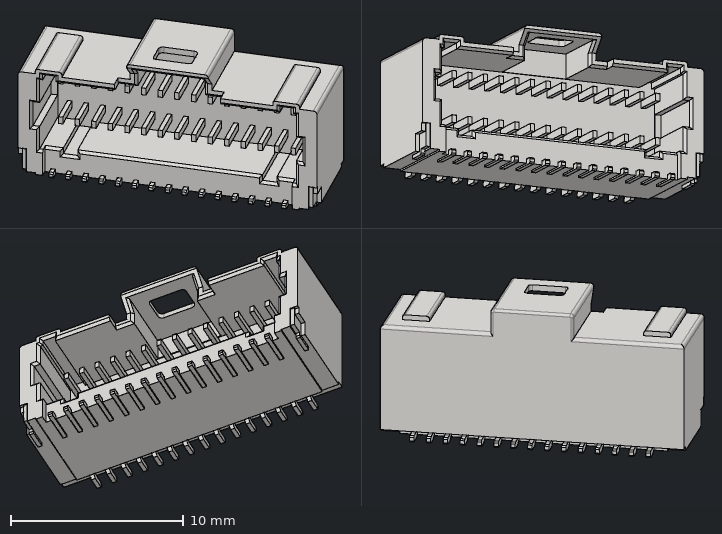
import cadquery as cq


HOUSING_WIDTH = 18.0
HOUSING_DEPTH = 5.85
HOUSING_TOP = 6.8
HOUSING_BOTTOM = 0.1
EDGE_RADIUS = 0.22
END_WIDTH = 1.06
END_LIFT = 0.1
HEEL_DEPTH = 0.47
HEEL_TOP = 0.43

HOOD_WIDTH = 4.93
HOOD_TOP = 8.25
HOOD_REAR_RADIUS = 0.16
HOOD_WINDOW_WIDTH = 2.34
HOOD_WINDOW_FRONT = 1.03
HOOD_WINDOW_REAR = 2.55
HOOD_WINDOW_REAR_RADIUS = 0.27
HOOD_WINDOW_FRONT_RADIUS = 0.2

RAIL_OFFSET = 7.15
RAIL_WIDTH = 1.6
RAIL_TOP = 7.11
RAIL_LENGTH = 4.55
RAIL_RADIUS = 0.16

CAVITY_WIDTH = 15.45
CAVITY_FLOOR = 1.76
CAVITY_TOP = 6.37
CAVITY_DEPTH = 4.1
RELIEF_DEPTH = 4.05
LEAD_IN = 0.16
LEAD_IN_ANGLE = 45.0
HOOD_CAVITY_WIDTH = 4.07
HOOD_CAVITY_TOP = 7.87
RAIL_CHANNEL_WIDTH = 0.8
RAIL_CHANNEL_TOP = 6.73
FLOOR_CHANNEL_OFFSET = 6.0
FLOOR_CHANNEL_WIDTH = 0.86
FLOOR_CHANNEL_BOTTOM = 1.39
SIDE_CHANNEL_DEPTH = 0.4
SIDE_CHANNEL_BOTTOM = 3.25
SIDE_CHANNEL_TOP = 4.85

SILL_WIDTH = 15.01
SILL_SETBACK = 0.49
LATCH_NOTCH_WIDTH = 6.37
LATCH_NOTCH_DEPTH = 0.81

CONTACT_COUNT = 15
CONTACT_SPAN = 14.0
CONTACT_PITCH = CONTACT_SPAN / (CONTACT_COUNT - 1)
CONTACT_WIDTH = 0.27
CONTACT_HEIGHT = 0.45
CONTACT_TIP = 2.1
CONTACT_ROW_BOTTOMS = (2.5, 5.15)
EMBED = 0.18
FOOT_BEVEL = 0.09
FRONT_FOOT_TOP = 0.36
FOOT_REAR = 1.96
REAR_FOOT_TOP = 0.4
REAR_FOOT_BEND = 0.16
REAR_FOOT_TIP = 6.5
REAR_FOOT_HEEL = 0.27

NAIL_THICKNESS = 0.25
NAIL_OUTER = 8.75
NAIL_FRONT = 0.07
NAIL_TOP = 1.73
NAIL_NOTCH_DEPTH = 0.77
NAIL_NOTCH_TOP = 0.35
NAIL_POCKET_DEPTH = 0.97
NAIL_POCKET_TOP = 1.26
NAIL_SLOT_DEPTH = 0.16


def block(x_range, y_range, z_range):
    """Axis-aligned box between the given limits."""
    x0, x1 = x_range
    y0, y1 = y_range
    z0, z1 = z_range
    return cq.Workplane("XY").box(x1 - x0, y1 - y0, z1 - z0, centered=False).translate((x0, y0, z0))


def centered_block(width, y_range, z_range, x_center=0.0):
    """Box of the given X width around x_center."""
    return block((x_center - width / 2, x_center + width / 2), y_range, z_range)


def side_profile(points, width, x_center=0.0):
    """Extrude a (y, z) outline along X, centred on x_center."""
    return (
        cq.Workplane("YZ").polyline(points).close().extrude(width / 2, both=True).translate((x_center, 0, 0))
    )


def both_ends(solid):
    """A solid together with its mirror image across x = 0."""
    return solid.union(solid.mirror("YZ"))


def make_shell():
    """Solid outside of the housing: body, hood, rails and underside steps."""
    depth = (0, HOUSING_DEPTH)
    body = centered_block(HOUSING_WIDTH, depth, (HOUSING_BOTTOM, HOUSING_TOP))
    body = body.faces(">Z").edges("|Y or >Y").fillet(EDGE_RADIUS)
    hood = centered_block(HOOD_WIDTH, depth, (HOUSING_TOP - EDGE_RADIUS, HOOD_TOP))
    hood = hood.edges("|Y and >Z").fillet(EDGE_RADIUS)
    hood = hood.faces(">Y").edges("not <Z").fillet(HOOD_REAR_RADIUS)
    shell = body.union(hood)

    rail = centered_block(RAIL_WIDTH, (0, RAIL_LENGTH), (CAVITY_TOP, RAIL_TOP), -RAIL_OFFSET)
    shell = shell.union(both_ends(rail.edges("|Y and >Z").fillet(RAIL_RADIUS)))

    end_inner = HOUSING_WIDTH / 2 - END_WIDTH
    end_relief = block((end_inner, HOUSING_WIDTH / 2), depth, (HOUSING_BOTTOM, HOUSING_BOTTOM + END_LIFT))
    heel_range = (HOUSING_DEPTH - HEEL_DEPTH, HOUSING_DEPTH)
    heel = centered_block(HOUSING_WIDTH, heel_range, (HOUSING_BOTTOM, HEEL_TOP))
    return shell.cut(both_ends(end_relief)).cut(heel)


def channel_set(growth, y_front, depth_limit, taper):
    """Cavity and its channels, enlarged sideways by growth, cut from y_front inward."""
    sections = [
        (0, CAVITY_WIDTH, CAVITY_FLOOR, CAVITY_TOP, CAVITY_DEPTH),
        (0, HOOD_CAVITY_WIDTH, CAVITY_FLOOR, HOOD_CAVITY_TOP, RELIEF_DEPTH),
        (0, CAVITY_WIDTH + 2 * SIDE_CHANNEL_DEPTH, SIDE_CHANNEL_BOTTOM, SIDE_CHANNEL_TOP, RELIEF_DEPTH),
    ]
    for side in (-1, 1):
        sections.append(
            (side * RAIL_OFFSET, RAIL_CHANNEL_WIDTH, CAVITY_FLOOR, RAIL_CHANNEL_TOP, CAVITY_DEPTH)
        )
        sections.append(
            (side * FLOOR_CHANNEL_OFFSET, FLOOR_CHANNEL_WIDTH, FLOOR_CHANNEL_BOTTOM, CAVITY_TOP, CAVITY_DEPTH)
        )
    channels = cq.Workplane("XY")
    for x_center, width, bottom, top, depth in sections:
        part = (
            cq.Workplane("XZ", origin=(x_center, y_front, (bottom + top) / 2))
            .rect(width + 2 * growth, top - bottom + 2 * growth)
            .extrude(-min(depth, depth_limit), taper=taper)
        )
        channels = channels.union(part)
    return channels


def make_cavity():
    return channel_set(0, 0, HOUSING_DEPTH, 0)


def make_lead_in(y_front):
    """Tapered flare of the cavity outline, starting at y_front."""
    return channel_set(LEAD_IN, y_front, LEAD_IN, LEAD_IN_ANGLE)


def make_sill_cut():
    """Set the lower front wall back and bevel the floor edge behind it."""
    sill = centered_block(SILL_WIDTH, (0, SILL_SETBACK), (0, CAVITY_FLOOR))
    lip_zone = centered_block(SILL_WIDTH, (0, SILL_SETBACK + LEAD_IN), (0, CAVITY_FLOOR))
    return sill.union(make_lead_in(SILL_SETBACK).intersect(lip_zone))


def make_latch_notch():
    """Remove the front of the top wall and slope the hood sides back below the lip."""
    low = CAVITY_TOP - LEAD_IN
    lip = HOOD_CAVITY_TOP + LEAD_IN
    slope_end = (LATCH_NOTCH_DEPTH, lip - LATCH_NOTCH_DEPTH)
    notch = side_profile([(0, low), (0, lip), slope_end, (LATCH_NOTCH_DEPTH, low)], LATCH_NOTCH_WIDTH)

    lip_depth = (0, LATCH_NOTCH_DEPTH + LEAD_IN)
    lip_zone = centered_block(LATCH_NOTCH_WIDTH, lip_depth, (low, CAVITY_TOP + LEAD_IN))
    notch = notch.union(make_lead_in(LATCH_NOTCH_DEPTH).intersect(lip_zone))

    bevel_outline = [
        (0, low),
        (0, HOOD_CAVITY_TOP),
        (LEAD_IN, HOOD_CAVITY_TOP),
        slope_end,
        (LATCH_NOTCH_DEPTH, low),
    ]
    shifted_outline = [(y + LEAD_IN, z) for y, z in bevel_outline]
    bevel = (
        cq.Workplane("YZ", origin=(HOOD_CAVITY_WIDTH / 2, 0, 0))
        .polyline(shifted_outline)
        .close()
        .workplane(offset=LEAD_IN)
        .polyline(bevel_outline)
        .close()
        .loft(ruled=True)
    )
    return notch.union(both_ends(bevel))


def make_hood_window():
    length = HOOD_WINDOW_REAR - HOOD_WINDOW_FRONT
    middle = (HOOD_WINDOW_REAR + HOOD_WINDOW_FRONT) / 2
    window = (
        cq.Workplane("XY", origin=(0, middle, HOUSING_TOP))
        .rect(HOOD_WINDOW_WIDTH, length)
        .extrude(HOOD_TOP - HOUSING_TOP)
    )
    window = window.edges("|Z and >Y").fillet(HOOD_WINDOW_REAR_RADIUS)
    return window.edges("|Z and <Y").fillet(HOOD_WINDOW_FRONT_RADIUS)


def make_nail_pocket():
    """Corner recesses that expose the nails."""
    inner = NAIL_OUTER - NAIL_THICKNESS
    side = HOUSING_WIDTH / 2
    pocket = block((inner, side), (0, NAIL_POCKET_DEPTH), (0, NAIL_POCKET_TOP))
    slot = block((inner, side), (0, NAIL_SLOT_DEPTH), (0, NAIL_TOP))
    return both_ends(pocket.union(slot))


def make_nails():
    """Upright metal plates, notched at the front and standing on z = 0."""
    outline = [
        (NAIL_FRONT, NAIL_NOTCH_TOP),
        (NAIL_FRONT, NAIL_TOP),
        (FOOT_REAR, NAIL_TOP),
        (FOOT_REAR, 0),
        (NAIL_NOTCH_DEPTH + FOOT_BEVEL, 0),
        (NAIL_NOTCH_DEPTH, FOOT_BEVEL),
        (NAIL_NOTCH_DEPTH, NAIL_NOTCH_TOP),
    ]
    nail = side_profile(outline, NAIL_THICKNESS, NAIL_OUTER - NAIL_THICKNESS / 2)
    return both_ends(nail)


def make_contact():
    """One column: two blades, a front foot and a rear foot."""
    column = cq.Workplane("XY")
    for bottom in CONTACT_ROW_BOTTOMS:
        blade = centered_block(
            CONTACT_WIDTH, (CONTACT_TIP, CAVITY_DEPTH + EMBED), (bottom, bottom + CONTACT_HEIGHT)
        )
        column = column.union(blade)
    front_foot = [
        (FOOT_BEVEL, 0),
        (0, FOOT_BEVEL),
        (0, FRONT_FOOT_TOP - FOOT_BEVEL),
        (FOOT_BEVEL, FRONT_FOOT_TOP),
        (FOOT_REAR, FRONT_FOOT_TOP),
        (FOOT_REAR, 0),
    ]
    heel = HOUSING_DEPTH - HEEL_DEPTH
    rear_foot = [
        (heel - EMBED, REAR_FOOT_HEEL),
        (heel, REAR_FOOT_HEEL),
        (heel + REAR_FOOT_HEEL, 0),
        (REAR_FOOT_TIP - FOOT_BEVEL, 0),
        (REAR_FOOT_TIP, FOOT_BEVEL),
        (REAR_FOOT_TIP, REAR_FOOT_TOP - FOOT_BEVEL),
        (REAR_FOOT_TIP - FOOT_BEVEL, REAR_FOOT_TOP),
        (HOUSING_DEPTH + REAR_FOOT_BEND, REAR_FOOT_TOP),
        (HOUSING_DEPTH, HEEL_TOP),
        (heel - EMBED, HEEL_TOP),
    ]
    column = column.union(side_profile(front_foot, CONTACT_WIDTH))
    return column.union(side_profile(rear_foot, CONTACT_WIDTH))


housing = make_shell().cut(make_cavity()).cut(make_lead_in(0))
housing = housing.cut(make_sill_cut()).cut(make_latch_notch())
housing = housing.cut(make_hood_window()).cut(make_nail_pocket())

result = housing.union(make_nails())
contact = make_contact()
for index in range(CONTACT_COUNT):
    x_position = index * CONTACT_PITCH - CONTACT_SPAN / 2
    result = result.union(contact.translate((x_position, 0, 0)))